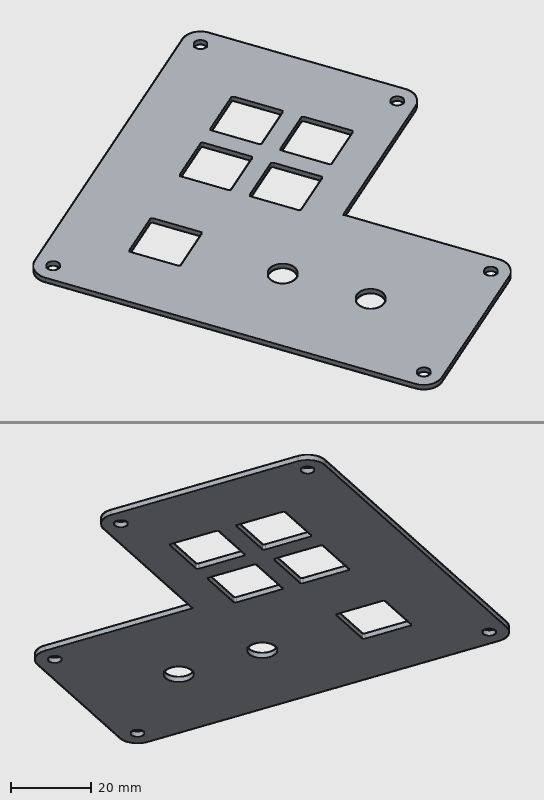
import cadquery as cq

plate_length = 111.0
plate_width = 101.9
plate_thickness = 1.5
upper_arm_width = 63.6
lower_arm_height = 51.8
corner_radius = 5.0

mounting_hole_diameter = 3.4

key_size = 14.0
key_pitch = 19.1
key_corner_radius = 0.5
key_column_x = 27.1
key_row_y = 55.9
single_key_y = 24.5

control_hole_diameter = 7.5
control_hole_spacing = 24.0
control_hole_x = 58.7
control_hole_y = 25.2


def make_arm(length, width):
    """Sheet with four rounded corners, its lower-left corner at the origin."""
    arm = cq.Workplane("XY").box(length, width, plate_thickness, centered=False)
    return arm.edges("|Z").fillet(corner_radius)


def make_plate():
    """L-shaped sheet whose two arms overlap, leaving a sharp inner corner."""
    upper_arm = make_arm(upper_arm_width, plate_width)
    lower_arm = make_arm(plate_length, lower_arm_height)
    return upper_arm.union(lower_arm)


def make_round_cutters(centers, diameter):
    """Cylinders through the full plate thickness."""
    return cq.Workplane("XY").pushPoints(centers).circle(diameter / 2).extrude(plate_thickness)


def make_key_cutters(centers):
    """Square prisms with slightly rounded corners, through the full plate thickness."""
    squares = cq.Workplane("XY").pushPoints(centers).rect(key_size, key_size).extrude(plate_thickness)
    return squares.edges("|Z").fillet(key_corner_radius)


right_hole_x = plate_length - corner_radius
mounting_centers = [
    (corner_radius, corner_radius),
    (right_hole_x, corner_radius),
    (right_hole_x, lower_arm_height - corner_radius),
    (upper_arm_width - corner_radius, plate_width - corner_radius),
    (corner_radius, plate_width - corner_radius),
]

key_centers = [
    (key_column_x + column * key_pitch, key_row_y + row * key_pitch)
    for column in range(2)
    for row in range(2)
]
key_centers.append((key_column_x, single_key_y))

control_centers = [
    (control_hole_x + index * control_hole_spacing, control_hole_y)
    for index in range(2)
]

result = (
    make_plate()
    .cut(make_round_cutters(mounting_centers, mounting_hole_diameter))
    .cut(make_round_cutters(control_centers, control_hole_diameter))
    .cut(make_key_cutters(key_centers))
    .translate((-plate_length / 2, -plate_width / 2, -plate_thickness / 2))
)